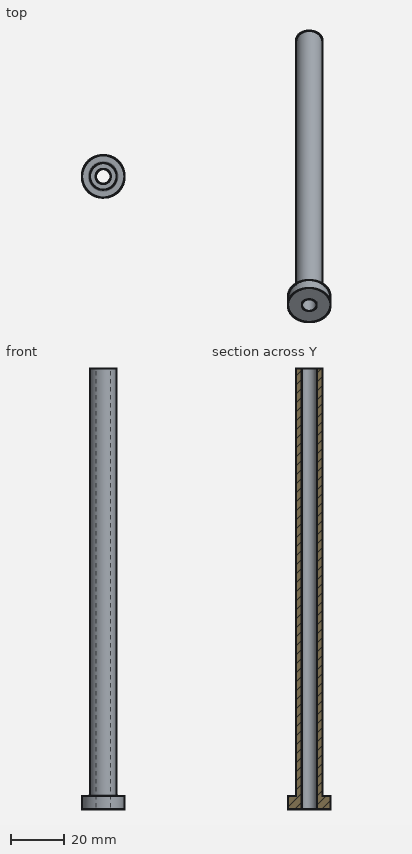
import cadquery as cq

total_length = 165.0
head_diameter = 16.0
head_height = 5.0
shank_diameter = 10.0
bore_diameter = 5.5
neck_fillet_radius = 0.5


def make_head():
    return cq.Workplane("XY").circle(head_diameter / 2).extrude(head_height)


def make_shank():
    """Shank above the head, reaching the full length of the pin."""
    return (
        cq.Workplane("XY")
        .workplane(offset=head_height)
        .circle(shank_diameter / 2)
        .extrude(total_length - head_height)
    )


def round_neck(body):
    """Fillet the inner corner where the shank meets the head."""
    neck_edge = body.edges("%CIRCLE").edges(cq.selectors.RadiusNthSelector(0)).edges("<Z")
    return neck_edge.fillet(neck_fillet_radius)


def make_bore():
    """Through bore along the whole axis."""
    return cq.Workplane("XY").circle(bore_diameter / 2).extrude(total_length)


pin = round_neck(make_head().union(make_shank()))
result = pin.cut(make_bore())